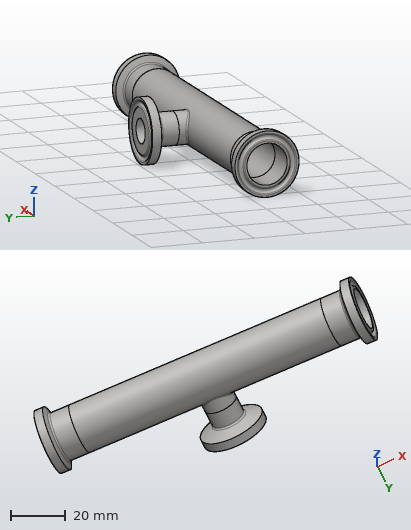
import cadquery as cq
import math

run_length = 127.0
run_diameter = 19.0
run_bore = 15.7
branch_reach = 25.4
branch_diameter = 12.7
branch_bore = 9.4
branch_root_fillet = 0.6

ferrule_length = 12.7
flange_diameter = 25.0
rim_thickness = 3.5
flange_back_angle = 20.0
neck_fillet = 0.8

groove_diameter = 20.3
groove_radius = 1.0
groove_lip_radius = 0.5


def make_groove():
    """Ring of material removed from a ferrule face at X = 0: round floor, rounded lips."""
    mid_radius = groove_diameter / 2
    centre_distance = groove_radius + groove_lip_radius
    lip_angle = math.asin(groove_lip_radius / centre_distance)
    half_width = centre_distance * math.cos(lip_angle)

    tangent_depth = groove_radius * math.sin(lip_angle)
    tangent_offset = groove_radius * math.cos(lip_angle)

    half_sweep = (math.pi / 2 - lip_angle) / 2
    lip_depth = groove_lip_radius * (1 - math.cos(half_sweep))
    lip_offset = half_width - groove_lip_radius * math.sin(half_sweep)

    return (
        cq.Workplane("XY")
        .moveTo(0, mid_radius - half_width)
        .threePointArc((lip_depth, mid_radius - lip_offset), (tangent_depth, mid_radius - tangent_offset))
        .threePointArc((groove_radius, mid_radius), (tangent_depth, mid_radius + tangent_offset))
        .threePointArc((lip_depth, mid_radius + lip_offset), (0, mid_radius + half_width))
        .close()
        .revolve(360, (0, 0, 0), (1, 0, 0))
    )


def make_ferrule(tube_diameter, bore_diameter):
    """Hollow ferrule with its face at X = 0 and its tube end toward +X."""
    tube_radius = tube_diameter / 2
    bore_radius = bore_diameter / 2
    flange_radius = flange_diameter / 2
    cone_length = (flange_radius - tube_radius) * math.tan(math.radians(flange_back_angle))
    neck_x = rim_thickness + cone_length

    turn = math.radians(90 - flange_back_angle)
    tangent_length = neck_fillet * math.tan(turn / 2)
    fillet_start = (
        neck_x - tangent_length * math.cos(turn),
        tube_radius + tangent_length * math.sin(turn),
    )
    fillet_middle = (
        neck_x + tangent_length - neck_fillet * math.sin(turn / 2),
        tube_radius + neck_fillet * (1 - math.cos(turn / 2)),
    )
    fillet_end = (neck_x + tangent_length, tube_radius)

    body = (
        cq.Workplane("XY")
        .moveTo(0, bore_radius)
        .lineTo(0, flange_radius)
        .lineTo(rim_thickness, flange_radius)
        .lineTo(*fillet_start)
        .threePointArc(fillet_middle, fillet_end)
        .lineTo(ferrule_length, tube_radius)
        .lineTo(ferrule_length, bore_radius)
        .close()
        .revolve(360, (0, 0, 0), (1, 0, 0))
    )

    return body.cut(make_groove())


def make_tee():
    """Run tube with a short branch stub, both ending where the ferrules begin."""
    tee_length = run_length - 2 * ferrule_length
    stub_end = branch_reach - ferrule_length
    run_radius = run_diameter / 2
    branch_plane = cq.Workplane("XZ").workplane(invert=True)

    run = cq.Workplane("YZ").circle(run_radius).extrude(tee_length / 2, both=True)
    stub = branch_plane.circle(branch_diameter / 2).extrude(stub_end)
    root_half = branch_diameter / 2 + branch_root_fillet
    root_zone = cq.selectors.BoxSelector(
        (-root_half, 0, -root_half),
        (root_half, run_radius + branch_root_fillet, root_half),
        boundingbox=True,
    )
    outside = run.union(stub).edges(root_zone).fillet(branch_root_fillet)

    run_hole = cq.Workplane("YZ").circle(run_bore / 2).extrude(tee_length / 2, both=True)
    branch_hole = branch_plane.circle(branch_bore / 2).extrude(stub_end)
    return outside.cut(run_hole).cut(branch_hole)


tee = make_tee()

run_ferrules = []
for turn_about_z in (0, 180):
    run_ferrule = (
        make_ferrule(run_diameter, run_bore)
        .translate((-run_length / 2, 0, 0))
        .rotate((0, 0, 0), (0, 0, 1), turn_about_z)
    )
    run_ferrules.append(run_ferrule.val())

branch_ferrule = (
    make_ferrule(branch_diameter, branch_bore)
    .translate((-branch_reach, 0, 0))
    .rotate((0, 0, 0), (0, 0, 1), -90)
)

result = cq.Compound.makeCompound([tee.val(), *run_ferrules, branch_ferrule.val()])